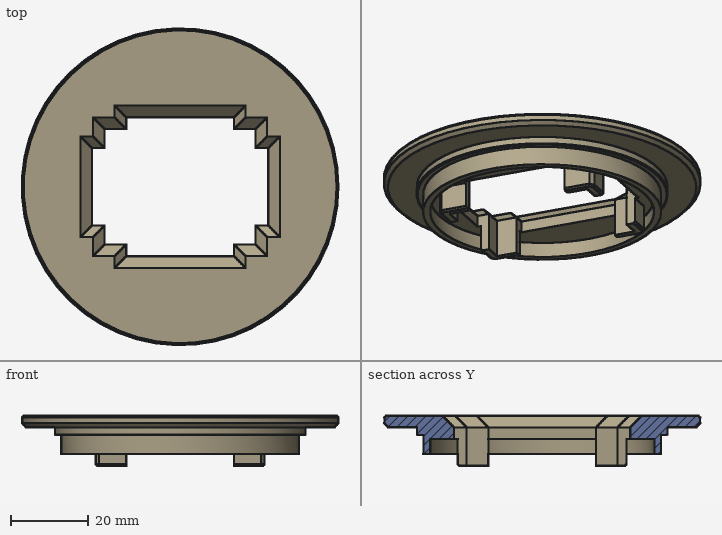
import cadquery as cq

flange_thickness = 3.0
shoulder_height = 2.05
skirt_height = 4.9
leg_height = 3.0
ceiling_z = -3.0
shoulder_z = -shoulder_height
skirt_z = shoulder_z - skirt_height
leg_z = skirt_z - leg_height

flange_diameter = 82.0
flange_top_chamfer = 0.5
flange_bottom_chamfer = 1.1
shoulder_diameter = 65.0
shoulder_chamfer = 0.25
skirt_diameter = 61.7
skirt_bore = 58.0

wide_x = 22.8
corner_x = 19.5
narrow_x = 13.9
wide_y = 17.95
corner_y = 14.9
narrow_y = 10.0
opening_flare = 3.0
cut_overlap = 0.8

leg_outer_x = 21.9
leg_outer_y = 17.0
leg_corner_x = 0.9
leg_corner_y = 1.3
leg_bottom_chamfer = 0.5


def disc(diameter, bottom, height):
    return cq.Workplane("XY", origin=(0, 0, bottom)).circle(diameter / 2).extrude(height)


def mirror_quarter(quarter):
    """Complete an outline from its points in the +X +Y quarter, listed from +X to +Y."""
    upper = quarter + [(-x, y) for x, y in reversed(quarter)]
    return upper + [(x, -y) for x, y in reversed(upper)]


def stepped_outline(growth):
    """Closed outline of the opening, with every edge moved outward by growth."""
    quarter = [
        (wide_x + growth, narrow_y + growth),
        (corner_x + growth, narrow_y + growth),
        (corner_x + growth, corner_y + growth),
        (narrow_x + growth, corner_y + growth),
        (narrow_x + growth, wide_y + growth),
    ]
    return mirror_quarter(quarter)


def make_body():
    flange = disc(flange_diameter, 0, flange_thickness)
    flange = flange.faces(">Z").chamfer(flange_top_chamfer)
    flange = flange.faces("<Z").chamfer(flange_bottom_chamfer)
    shoulder = disc(shoulder_diameter, shoulder_z, shoulder_height)
    shoulder = shoulder.faces("<Z").edges().chamfer(shoulder_chamfer)
    skirt = disc(skirt_diameter, skirt_z, -skirt_z)
    recess = disc(skirt_bore, skirt_z, ceiling_z - skirt_z)
    return flange.union(shoulder).union(skirt).cut(recess)


def make_leg_block():
    """Bevelled block under the recess roof; the opening cuts it into four corner legs."""
    corner = [
        (leg_outer_x, leg_outer_y - leg_corner_y),
        (leg_outer_x - leg_corner_x, leg_outer_y),
    ]
    block = (
        cq.Workplane("XY", origin=(0, 0, leg_z))
        .polyline(mirror_quarter(corner)).close()
        .extrude(ceiling_z - leg_z)
    )
    return block.faces("<Z").edges().chamfer(leg_bottom_chamfer)


def make_opening():
    straight_bottom = leg_z - cut_overlap
    straight = (
        cq.Workplane("XY", origin=(0, 0, straight_bottom))
        .polyline(stepped_outline(0)).close()
        .extrude(-straight_bottom)
    )
    flare = (
        cq.Workplane("XY")
        .polyline(stepped_outline(0)).close()
        .workplane(offset=flange_thickness)
        .polyline(stepped_outline(opening_flare)).close()
        .loft(ruled=True)
    )
    return straight.union(flare)


result = make_body().union(make_leg_block()).cut(make_opening())